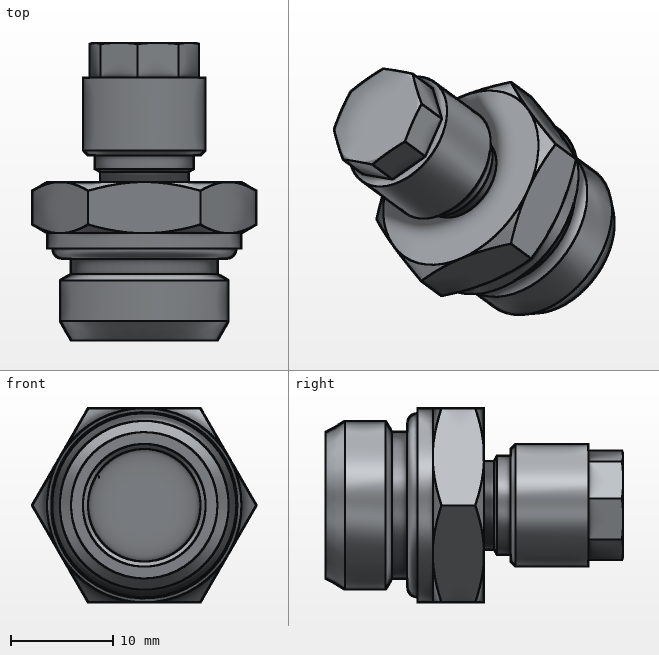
import cadquery as cq
import math


thread_radius = 8.25
lead_chamfer_length = 1.9
lead_chamfer_angle = 30
stud_neck_radius = 7.2
thread_end_y = 5.9
thread_runout_angle = 30

recess_radius = 5.5
recess_depth = 1.1
recess_chamfer = 0.5

seal_radius = 9.0
seal_section_radius = 1.0
seal_start_y = 8.0
seal_end_y = seal_start_y + seal_section_radius
seal_gap_width = 0.1
seal_gap_depth = 0.2

hex_across_flats = 19.0
hex_thickness = 5.0
hex_chamfer_angle = 30
collar_radius = hex_across_flats / 2
collar_length = 1.5
hex_start_y = seal_end_y + collar_length
hex_end_y = hex_start_y + hex_thickness

neck_radius = 4.35
neck_length = 1.0
step_radius = 4.85
step_cone_angle = 30

nut_radius = 6.0
nut_chamfer = 0.5
nut_start_y = 18.1
nut_body_end_y = 25.7
octagon_across_flats = 10.0
octagon_first_corner_angle = 7
octagon_chamfer_angle = 15
overall_length = 29.1


def tangent(angle):
    return math.tan(math.radians(angle))


def revolve_about_y(profile):
    return profile.close().revolve(360, (0, 0, 0), (0, 1, 0))


def chamfered_prism(sides, across_flats, start_y, end_y, corner_angle, chamfer_angle, chamfer_start):
    """Regular prism along Y with conical corner chamfers that touch the flats at the end faces.

    The far end is always chamfered, the near end only when chamfer_start is set.
    """
    flat_radius = across_flats / 2
    corner_radius = flat_radius / math.cos(math.pi / sides)
    chamfer_length = (corner_radius - flat_radius) * tangent(chamfer_angle)
    corners = []
    for index in range(sides):
        angle = math.radians(corner_angle + index * 360 / sides)
        corners.append((corner_radius * math.cos(angle), corner_radius * math.sin(angle)))
    prism = (
        cq.Workplane("XZ", origin=(0, start_y, 0))
        .polyline(corners)
        .close()
        .extrude(start_y - end_y)
    )
    envelope = cq.Workplane("XY").moveTo(0, start_y)
    if chamfer_start:
        envelope = envelope.lineTo(flat_radius, start_y).lineTo(corner_radius, start_y + chamfer_length)
    else:
        envelope = envelope.lineTo(corner_radius, start_y)
    envelope = (
        envelope.lineTo(corner_radius, end_y - chamfer_length)
        .lineTo(flat_radius, end_y)
        .lineTo(0, end_y)
    )
    return prism.intersect(revolve_about_y(envelope))


def make_stud():
    lead_radius = thread_radius - lead_chamfer_length * tangent(lead_chamfer_angle)
    runout_length = (thread_radius - stud_neck_radius) * tangent(thread_runout_angle)
    seal_center_radius = seal_radius - seal_section_radius
    neck_offset = seal_center_radius - stud_neck_radius
    seal_inner_y = seal_end_y - math.sqrt(seal_section_radius**2 - neck_offset**2)
    profile = (
        cq.Workplane("XY")
        .lineTo(lead_radius, 0)
        .lineTo(thread_radius, lead_chamfer_length)
        .lineTo(thread_radius, thread_end_y)
        .lineTo(stud_neck_radius, thread_end_y + runout_length)
        .lineTo(stud_neck_radius, seal_inner_y)
        .threePointArc((seal_center_radius, seal_start_y), (seal_radius, seal_end_y))
        .lineTo(seal_radius, seal_end_y + seal_gap_depth)
        .lineTo(seal_radius + seal_gap_width, seal_end_y + seal_gap_depth)
        .lineTo(seal_radius + seal_gap_width, seal_end_y)
        .lineTo(collar_radius, seal_end_y)
        .lineTo(collar_radius, hex_start_y)
        .lineTo(0, hex_start_y)
    )
    return revolve_about_y(profile)


def make_neck_and_nut_body():
    cone_start_y = hex_end_y + neck_length
    cone_end_y = cone_start_y + (step_radius - neck_radius) * tangent(step_cone_angle)
    profile = (
        cq.Workplane("XY")
        .moveTo(0, hex_end_y)
        .lineTo(neck_radius, hex_end_y)
        .lineTo(neck_radius, cone_start_y)
        .lineTo(step_radius, cone_end_y)
        .lineTo(step_radius, nut_start_y)
        .lineTo(nut_radius - nut_chamfer, nut_start_y)
        .lineTo(nut_radius, nut_start_y + nut_chamfer)
        .lineTo(nut_radius, nut_body_end_y)
        .lineTo(0, nut_body_end_y)
    )
    return revolve_about_y(profile)


def make_recess():
    profile = (
        cq.Workplane("XY")
        .lineTo(recess_radius + recess_chamfer, 0)
        .lineTo(recess_radius, recess_chamfer)
        .lineTo(recess_radius, recess_depth)
        .lineTo(0, recess_depth)
    )
    return revolve_about_y(profile)


main_hexagon = chamfered_prism(
    6, hex_across_flats, hex_start_y, hex_end_y, 0, hex_chamfer_angle, chamfer_start=True
)
wrench_octagon = chamfered_prism(
    8,
    octagon_across_flats,
    nut_body_end_y,
    overall_length,
    octagon_first_corner_angle,
    octagon_chamfer_angle,
    chamfer_start=False,
)

result = (
    make_stud()
    .union(main_hexagon)
    .union(make_neck_and_nut_body())
    .union(wrench_octagon)
    .cut(make_recess())
)